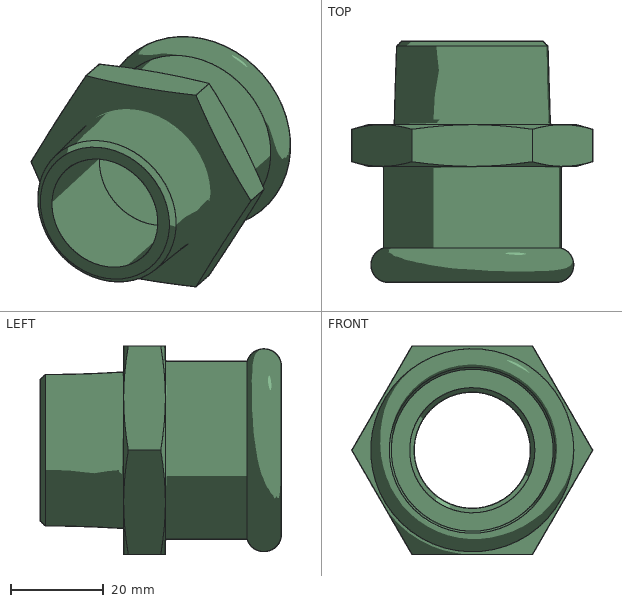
import cadquery as cq
import math


socket_length = 25.0
hex_width = 9.0
thread_length = 18.0
hex_end = socket_length + hex_width
total_length = hex_end + thread_length

across_flats = 45.0
hex_corner_diameter = across_flats / math.cos(math.pi / 6)
hex_face_radius = 22.48
hex_chamfer_angle = math.radians(16)
cone_overrun = 1.0

tube_radius = 38.4 / 2
tube_root_fillet = 0.35
bead_radius = 43.8 / 2
bead_section_radius = 3.8
bead_center_radius = bead_radius - bead_section_radius
mouth_face_radius = 18.65
mouth_edge_offset = mouth_face_radius - bead_center_radius
bead_center_y = math.sqrt(bead_section_radius**2 - mouth_edge_offset**2)

mouth_radius = 35.8 / 2
bore_radius = 35.4 / 2
mouth_rounding = mouth_face_radius - mouth_radius
seal_center_y = 3.7
seal_half_width = 1.45
seal_bulge = 0.44
mouth_end = 6.6
bore_start = 7.35
bore_depth = 26.0
bore_floor_fillet = 0.35

hole_radius = 25.0 / 2
hole_chamfer = 1.0

thread_radius = 33.7 / 2
thread_taper = 1 / 32
thread_collar = 1.0
thread_root_fillet = 0.3
thread_end_chamfer = 1.1
taper_length = thread_length - thread_collar - thread_end_chamfer
thread_end_radius = thread_radius - taper_length * thread_taper

DIAGONAL = math.sqrt(0.5)


def revolve_about_y(profile):
    """Close a half profile drawn in radius and Y, and spin it about the part axis."""
    return profile.close().revolve(360, (0, 0, 0), (0, 1, 0))


def make_hexagon():
    """Hexagon with two flats facing +Z and -Z and both faces chamfered by a cone."""
    prism = (
        cq.Workplane("XZ")
        .polygon(6, hex_corner_diameter)
        .extrude(-hex_width)
        .translate((0, socket_length, 0))
    )
    cone_radius = hex_corner_diameter / 2 + cone_overrun
    cone_drop = (cone_radius - hex_face_radius) * math.tan(hex_chamfer_angle)
    envelope = revolve_about_y(
        cq.Workplane("XY")
        .moveTo(0, socket_length)
        .lineTo(hex_face_radius, socket_length)
        .lineTo(cone_radius, socket_length + cone_drop)
        .lineTo(cone_radius, hex_end - cone_drop)
        .lineTo(hex_face_radius, hex_end)
        .lineTo(0, hex_end)
    )
    return prism.intersect(envelope)


def make_socket_body():
    """Tube with a rounded bead at the mouth and a small fillet against the hexagon."""
    bead_end_y = bead_center_y + math.sqrt(
        bead_section_radius**2 - (tube_radius - bead_center_radius) ** 2
    )
    fillet_mid = tube_root_fillet * (1 - DIAGONAL)
    return revolve_about_y(
        cq.Workplane("XY")
        .moveTo(0, 0)
        .lineTo(mouth_face_radius, 0)
        .threePointArc((bead_radius, bead_center_y), (tube_radius, bead_end_y))
        .lineTo(tube_radius, socket_length - tube_root_fillet)
        .threePointArc(
            (tube_radius + fillet_mid, socket_length - fillet_mid),
            (tube_radius + tube_root_fillet, socket_length),
        )
        .lineTo(0, socket_length)
    )


def make_thread_body():
    """Tapered thread body with an end chamfer and a short cylindrical collar."""
    fillet_mid = thread_root_fillet * (1 - DIAGONAL)
    return revolve_about_y(
        cq.Workplane("XY")
        .moveTo(0, hex_end)
        .lineTo(thread_radius + thread_root_fillet, hex_end)
        .threePointArc(
            (thread_radius + fillet_mid, hex_end + fillet_mid),
            (thread_radius, hex_end + thread_root_fillet),
        )
        .lineTo(thread_radius, hex_end + thread_collar)
        .lineTo(thread_end_radius, total_length - thread_end_chamfer)
        .lineTo(thread_end_radius - thread_end_chamfer, total_length)
        .lineTo(0, total_length)
    )


def make_inside():
    """Space inside: rounded mouth, bulging seal ring, socket bore and through hole."""
    rounding_mid = mouth_rounding * (1 - DIAGONAL)
    floor_mid = bore_floor_fillet * (1 - DIAGONAL)
    return revolve_about_y(
        cq.Workplane("XY")
        .moveTo(0, 0)
        .lineTo(mouth_face_radius, 0)
        .threePointArc((mouth_radius + rounding_mid, rounding_mid), (mouth_radius, mouth_rounding))
        .lineTo(mouth_radius, seal_center_y - seal_half_width)
        .threePointArc(
            (mouth_radius - seal_bulge, seal_center_y),
            (mouth_radius, seal_center_y + seal_half_width),
        )
        .lineTo(mouth_radius, mouth_end)
        .lineTo(bore_radius, bore_start)
        .lineTo(bore_radius, bore_depth - bore_floor_fillet)
        .threePointArc(
            (bore_radius - floor_mid, bore_depth - floor_mid),
            (bore_radius - bore_floor_fillet, bore_depth),
        )
        .lineTo(hole_radius + hole_chamfer, bore_depth)
        .lineTo(hole_radius, bore_depth + hole_chamfer)
        .lineTo(hole_radius, total_length)
        .lineTo(0, total_length)
    )


result = make_hexagon().union(make_socket_body()).union(make_thread_body()).cut(make_inside())